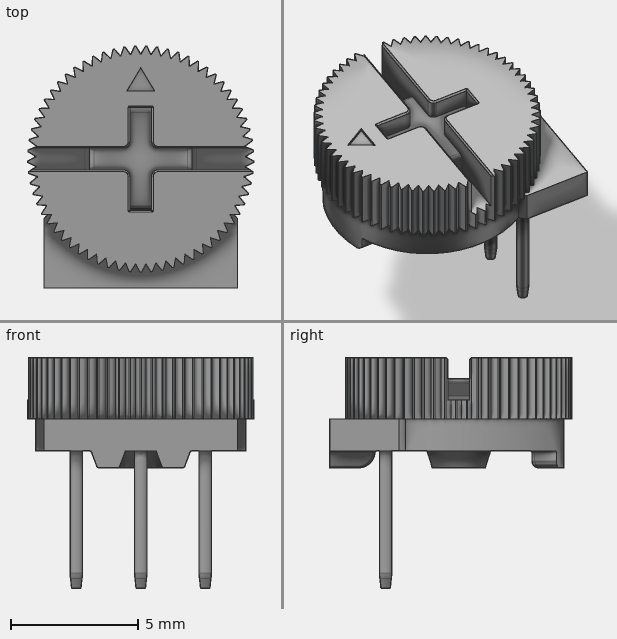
import cadquery as cq
import math


TOOTH_COUNT = 65
KNOB_HEIGHT = 2.41
TIP_RADIUS = 4.45
ROOT_RADIUS = 4.12
TIP_FLAT = 0.06

SLOT_HALF_WIDTH = 0.43
SLOT_DEPTH = 1.66
SHORT_ARM_REACH = 2.02
INNER_CORNER_RADIUS = 0.25
RIM_CHAMFER = 0.07

BRIDGE_HALF_LENGTH = SHORT_ARM_REACH
BRIDGE_DROP = 0.82
BRIDGE_CREST_RADIUS = 0.18
BRIDGE_FOOT_RADIUS = 0.17

ARROW_HALF_WIDTH = 0.54
ARROW_BASE_Y = 2.675
ARROW_TIP_Y = 3.59
ARROW_DEPTH = 0.095

BASE_THICKNESS = 1.26
BASE_RADIUS = 4.13
BLOCK_HALF_WIDTH = 3.81
BLOCK_FRONT_Y = -5.07
BLOCK_BACK_Y = -2.34
SHOULDER_END_Y = -2.085
BASE_BOTTOM = -BASE_THICKNESS

STANDOFF_HEIGHT = 0.67
BOSS_TOP_RADIUS = 1.26
BOSS_BOTTOM_RADIUS = 1.05
FOOT_SPACING = 2.56
FOOT_TOP_WIDTH = 1.35
FOOT_BOTTOM_WIDTH = 0.86
FOOT_LENGTH = 1.79
FOOT_EDGE_RADIUS = 0.1
FOOT_ROOT_RADIUS = 0.09
REAR_FOOT_WIDTH = 3.07
REAR_FOOT_INNER_Y = 2.875
REAR_FOOT_ROUND = 0.27

PIN_SPACING = 2.53
PIN_Y = -2.875
PIN_LENGTH = 5.41
PIN_RADIUS = 0.25
PIN_NECK_RADIUS = 0.23
PIN_TIP_RADIUS = 0.19
PIN_TIP_CHAMFER = 0.03
PIN_SHOULDER_LENGTH = 0.61
PIN_NECK_LENGTH = 0.39


def polar(radius, angle):
    return radius * math.cos(angle), radius * math.sin(angle)


def toothed_disc():
    pitch = 2 * math.pi / TOOTH_COUNT
    half_tip = TIP_FLAT / 2 / TIP_RADIUS
    outline = []
    for i in range(TOOTH_COUNT):
        root_angle = math.pi / 2 + i * pitch
        tip_angle = root_angle + pitch / 2
        outline.append(polar(ROOT_RADIUS, root_angle))
        outline.append(polar(TIP_RADIUS, tip_angle - half_tip))
        outline.append(polar(TIP_RADIUS, tip_angle + half_tip))
    return cq.Workplane("XY").polyline(outline).close().extrude(KNOB_HEIGHT)


def cross_outline(z):
    """Cross with rounded inner corners: the X arms run out through the rim, the Y arms are short."""
    slot_width = 2 * SLOT_HALF_WIDTH
    arms = cq.Sketch().rect(4 * TIP_RADIUS, slot_width).rect(slot_width, 2 * SHORT_ARM_REACH)
    around_center = cq.selectors.BoxSelector(
        (-slot_width, -slot_width, -0.095),
        (slot_width, slot_width, 0.095),
    )
    cross = arms.clean().vertices(around_center).fillet(INNER_CORNER_RADIUS).reset()
    return cq.Workplane("XY").workplane(offset=z).placeSketch(cross)


def cross_slot():
    slot = cross_outline(KNOB_HEIGHT - SLOT_DEPTH).extrude(SLOT_DEPTH)
    rim_flare = cross_outline(KNOB_HEIGHT - RIM_CHAMFER).extrude(RIM_CHAMFER, taper=-45)
    return slot.union(rim_flare)


def bridge():
    """Block across the slot floor: rounded crest on all four ends, flared feet along X."""
    height = SLOT_DEPTH - BRIDGE_DROP
    end = BRIDGE_HALF_LENGTH
    toe = end + BRIDGE_FOOT_RADIUS
    foot_z = KNOB_HEIGHT - SLOT_DEPTH
    block = (
        cq.Workplane("XY")
        .workplane(offset=foot_z)
        .rect(2 * end, 2 * end)
        .extrude(height)
        .faces(">Z")
        .edges()
        .fillet(BRIDGE_CREST_RADIUS)
    )
    flare_z = foot_z + BRIDGE_FOOT_RADIUS
    flare = (
        cq.Workplane("XZ")
        .moveTo(-toe, foot_z)
        .radiusArc((-end, flare_z), -BRIDGE_FOOT_RADIUS)
        .lineTo(end, flare_z)
        .radiusArc((toe, foot_z), -BRIDGE_FOOT_RADIUS)
        .close()
        .extrude(end, both=True)
    )
    return block.union(flare)


def arrow():
    return (
        cq.Workplane("XY")
        .workplane(offset=KNOB_HEIGHT - ARROW_DEPTH)
        .polyline([
            (-ARROW_HALF_WIDTH, ARROW_BASE_Y),
            (ARROW_HALF_WIDTH, ARROW_BASE_Y),
            (0, ARROW_TIP_Y),
        ])
        .close()
        .extrude(ARROW_DEPTH)
    )


def make_knob():
    slot = cross_slot().cut(bridge())
    return toothed_disc().cut(slot).cut(arrow())


def base_plate():
    shoulder_x = math.sqrt(BASE_RADIUS**2 - SHOULDER_END_Y**2)
    return (
        cq.Workplane("XY")
        .workplane(offset=BASE_BOTTOM)
        .moveTo(-BLOCK_HALF_WIDTH, BLOCK_FRONT_Y)
        .lineTo(BLOCK_HALF_WIDTH, BLOCK_FRONT_Y)
        .lineTo(BLOCK_HALF_WIDTH, BLOCK_BACK_Y)
        .lineTo(shoulder_x, SHOULDER_END_Y)
        .threePointArc((0, BASE_RADIUS), (-shoulder_x, SHOULDER_END_Y))
        .lineTo(-BLOCK_HALF_WIDTH, BLOCK_BACK_Y)
        .close()
        .extrude(BASE_THICKNESS)
    )


def center_boss():
    return cq.Workplane(
        cq.Solid.makeCone(
            BOSS_TOP_RADIUS,
            BOSS_BOTTOM_RADIUS,
            STANDOFF_HEIGHT,
            pnt=cq.Vector(0, 0, BASE_BOTTOM),
            dir=cq.Vector(0, 0, -1),
        )
    )


def front_foot(center_x):
    """Tapered rail from the front face, its rear end rounded over the full height."""
    top = FOOT_TOP_WIDTH / 2
    bottom = FOOT_BOTTOM_WIDTH / 2
    rail = (
        cq.Workplane("XZ", origin=(center_x, BLOCK_FRONT_Y, BASE_BOTTOM))
        .polyline([
            (-top, 0),
            (top, 0),
            (bottom, -STANDOFF_HEIGHT),
            (-bottom, -STANDOFF_HEIGHT),
        ])
        .close()
        .extrude(-FOOT_LENGTH)
    )
    end_y = BLOCK_FRONT_Y + FOOT_LENGTH
    side = (
        cq.Workplane("YZ", origin=(center_x, end_y, BASE_BOTTOM))
        .moveTo(-FOOT_LENGTH, 0)
        .lineTo(0, 0)
        .radiusArc((-STANDOFF_HEIGHT, -STANDOFF_HEIGHT), STANDOFF_HEIGHT)
        .lineTo(-FOOT_LENGTH, -STANDOFF_HEIGHT)
        .close()
        .extrude(top, both=True)
    )
    foot = rail.intersect(side)
    return foot.edges("not (>Z or <Y or |X)").fillet(FOOT_EDGE_RADIUS)


def rear_foot():
    """Bar along the rear rim, rounded below and trimmed to the plate's round outline."""
    depth = BASE_RADIUS - REAR_FOOT_INNER_Y
    bar = (
        cq.Workplane("XY", origin=(0, REAR_FOOT_INNER_Y + depth / 2, BASE_BOTTOM))
        .rect(REAR_FOOT_WIDTH, depth)
        .extrude(-STANDOFF_HEIGHT)
        .edges("|Z and <Y")
        .fillet(FOOT_EDGE_RADIUS)
        .faces("<Z")
        .edges("not >Y")
        .fillet(REAR_FOOT_ROUND)
    )
    rim = cq.Workplane("XY", origin=(0, 0, BASE_BOTTOM)).circle(BASE_RADIUS).extrude(-STANDOFF_HEIGHT)
    return bar.intersect(rim)


def round_foot_roots(base):
    """Fillet the joints between the feet and the underside, ending at the outer faces."""
    gap = 0.01
    half_span = FOOT_SPACING / 2 + FOOT_TOP_WIDTH / 2
    front_roots = cq.selectors.BoxSelector(
        (-half_span - gap, BLOCK_FRONT_Y + gap, BASE_BOTTOM - gap),
        (half_span + gap, BLOCK_FRONT_Y + FOOT_LENGTH + gap, BASE_BOTTOM + gap),
    )
    rear_roots = cq.selectors.BoxSelector(
        (-REAR_FOOT_WIDTH / 2 - gap, REAR_FOOT_INNER_Y - gap, BASE_BOTTOM - gap),
        (REAR_FOOT_WIDTH / 2 + gap, BASE_RADIUS, BASE_BOTTOM + gap),
    )
    return base.edges(front_roots + rear_roots).fillet(FOOT_ROOT_RADIUS)


def make_base():
    base = base_plate().union(center_boss()).union(rear_foot())
    for side in (-1, 1):
        base = base.union(front_foot(side * FOOT_SPACING / 2))
    return round_foot_roots(base)


def make_pin(x):
    """Round pin on the base's underside, narrowing to a tapered tip."""
    profile = (
        cq.Workplane("XZ", origin=(x, PIN_Y, BASE_BOTTOM))
        .lineTo(PIN_RADIUS, 0)
        .lineTo(PIN_RADIUS, PIN_SHOULDER_LENGTH - PIN_LENGTH)
        .tangentArcPoint((PIN_NECK_RADIUS, PIN_NECK_LENGTH - PIN_LENGTH), relative=False)
        .lineTo(PIN_TIP_RADIUS, PIN_TIP_CHAMFER - PIN_LENGTH)
        .lineTo(PIN_TIP_RADIUS - PIN_TIP_CHAMFER, -PIN_LENGTH)
        .lineTo(0, -PIN_LENGTH)
        .close()
    )
    return profile.revolve(360, (0, 0, 0), (0, 1, 0))


knob = make_knob()
base = make_base()
pins = [make_pin(step * PIN_SPACING) for step in (-1, 0, 1)]
result = cq.Compound.makeCompound([knob.val(), base.val(), *[pin.val() for pin in pins]])